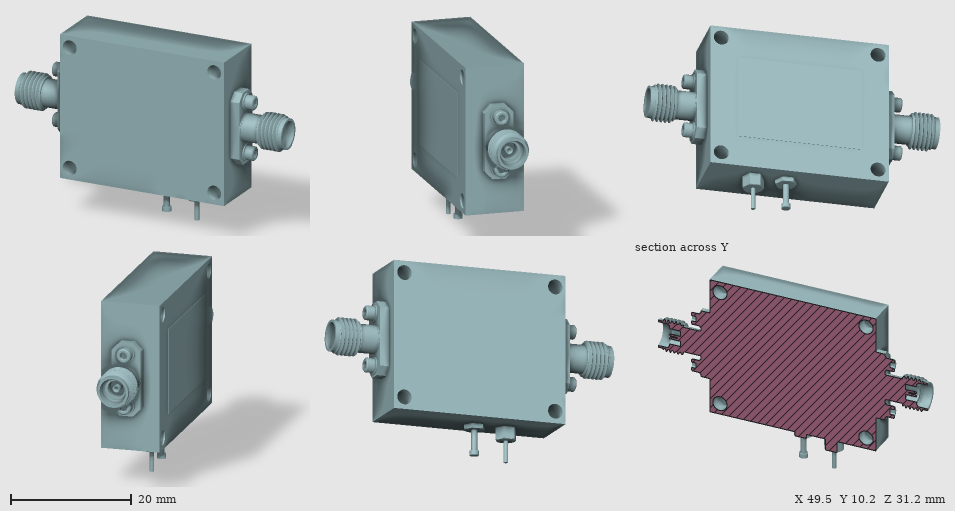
import cadquery as cq
import math

BODY_X = 30.48
BODY_Y = 10.16
BODY_Z = 25.4
COVER_THICKNESS = 1.27

LABEL_X = 21.1
LABEL_Z = 14.6
LABEL_THICKNESS = 0.08

HOLE_DIAMETER = 2.54
HOLE_SPACING_X = 26.8
HOLE_SPACING_Z = 21.3

CONNECTOR_FROM_FRONT = 4.83
CONNECTOR_Y = -BODY_Y / 2 + CONNECTOR_FROM_FRONT
CONNECTOR_REACH = 9.48
FLANGE_LENGTH = 12.7
FLANGE_WIDTH = 5.0
FLANGE_THICKNESS = 1.65
FLANGE_CHAMFER = 1.35
BARREL_DIAMETER = 4.83
COLLAR_DIAMETER = FLANGE_WIDTH
COLLAR_HEIGHT = 0.15
TIP_DIAMETER = 5.33
TIP_LENGTH = 0.74
THREAD_DIAMETER = 6.35
INCH = 25.4
THREADS_PER_INCH = 36
THREAD_PITCH = INCH / THREADS_PER_INCH
THREAD_LENGTH = 3.95
THREAD_FIRST_CREST = 1.16
RIDGE_BASE = 0.6
RIDGE_CREST = 0.08
RIDGE_OVERLAP = 0.05

MOUTH_DIAMETER = 4.52
MOUTH_DEPTH = 1.7
MOUTH_FLOOR_DIAMETER = 3.9
SEAT_DEPTH = 2.0
AIR_BORE_DIAMETER = 2.92
AIR_BORE_DEPTH = 4.0
CONTACT_DIAMETER = 1.19
CONTACT_HOLE_DIAMETER = 0.6
CONTACT_MOUTH_DIAMETER = 0.94
CONTACT_HOLE_DEPTH = 1.5

END_TAB_HEIGHT = 0.09
END_TAB_DEPTH = 0.36

SCREW_SPACING = 8.94
WASHER_DIAMETER = 2.95
WASHER_THICKNESS = 0.25
HEAD_DIAMETER = 2.44
HEAD_HEIGHT = 1.5
HEAD_CHAMFER = 0.18
SOCKET_ACROSS_FLATS = 1.1
SOCKET_MOUTH_DIAMETER = 1.35
SOCKET_BEVEL_DEPTH = 0.15
SOCKET_DEPTH = 0.8

TERMINAL_FROM_FRONT = 6.35
TERMINAL_Y = -BODY_Y / 2 + TERMINAL_FROM_FRONT
NUT_ACROSS_FLATS = 3.18
NUT_CORNER_CHAMFER = 0.2
FEEDTHROUGH_X = 1.42
FEEDTHROUGH_NUT_HEIGHT = 0.78
FEEDTHROUGH_STEM_DIAMETER = 1.02
FEEDTHROUGH_REACH = 5.12
FEEDTHROUGH_HEAD_DIAMETER = 1.52
FEEDTHROUGH_HEAD_LENGTH = 0.8
GROUND_X = 7.03
GROUND_NUT_HEIGHT = 2.1
GROUND_PIN_DIAMETER = 0.76
GROUND_REACH = 5.84


def cylinder(diameter, start, end):
    """Cylinder along local Z between two heights."""
    return cq.Workplane("XY").workplane(offset=start).circle(diameter / 2).extrude(end - start)


def hexagon_prism(across_flats, height):
    """Hexagonal prism along Z with corners on the X axis."""
    across_corners = across_flats / math.cos(math.pi / 6)
    return cq.Workplane("XY").polygon(6, across_corners).extrude(height)


def slab(size_x, size_z, start_y, thickness):
    """Box centred on X and Z, from start_y toward +Y."""
    return cq.Workplane("XY").box(size_x, thickness, size_z).translate((0, start_y + thickness / 2, 0))


def housing():
    """Box, cover and label; the joint of box and cover is kept as an edge."""
    cover_start = BODY_Y / 2 - COVER_THICKNESS
    box = slab(BODY_X, BODY_Z, -BODY_Y / 2, BODY_Y - COVER_THICKNESS)
    cover = slab(BODY_X, BODY_Z, cover_start, COVER_THICKNESS)
    label = slab(LABEL_X, LABEL_Z, BODY_Y / 2, LABEL_THICKNESS)
    holes = (
        cq.Workplane("XZ")
        .rect(HOLE_SPACING_X, HOLE_SPACING_Z, forConstruction=True)
        .vertices()
        .circle(HOLE_DIAMETER / 2)
        .extrude(BODY_Y, both=True)
    )
    return box.cut(holes).union(cover.cut(holes).union(label), clean=False)


def thread():
    """Right-hand helical ridge on a core, with 45 degree lead-ins at both ends."""
    core_radius = TIP_DIAMETER / 2
    crest_radius = THREAD_DIAMETER / 2
    end = CONNECTOR_REACH - TIP_LENGTH
    start = end - THREAD_LENGTH
    spare_turns = 2
    turns = math.ceil(THREAD_LENGTH / THREAD_PITCH) + spare_turns
    helix_start = CONNECTOR_REACH - THREAD_FIRST_CREST - (turns - 1) * THREAD_PITCH
    foot_radius = core_radius - RIDGE_OVERLAP
    path = cq.Wire.makeHelix(THREAD_PITCH, turns * THREAD_PITCH, core_radius)
    ridge = (
        cq.Workplane("XZ")
        .moveTo(foot_radius, -RIDGE_BASE / 2)
        .lineTo(crest_radius, -RIDGE_CREST / 2)
        .lineTo(crest_radius, RIDGE_CREST / 2)
        .lineTo(foot_radius, RIDGE_BASE / 2)
        .close()
        .sweep(cq.Workplane(path), isFrenet=True)
        .translate((0, 0, helix_start))
    )
    lead_in = crest_radius - core_radius
    envelope = cylinder(THREAD_DIAMETER + 2 * RIDGE_OVERLAP, start, end).edges().chamfer(lead_in)
    core = cylinder(TIP_DIAMETER, start, end)
    return core.union(ridge.intersect(envelope))


def mouth():
    """Revolved cavity of the connector, around its centre contact."""
    face = CONNECTOR_REACH
    bore = cylinder(MOUTH_DIAMETER, face - MOUTH_DEPTH, face)
    taper = (
        cq.Workplane("XY")
        .workplane(offset=face - SEAT_DEPTH)
        .circle(MOUTH_FLOOR_DIAMETER / 2)
        .workplane(offset=SEAT_DEPTH - MOUTH_DEPTH)
        .circle(MOUTH_DIAMETER / 2)
        .loft()
    )
    air_bore = cylinder(AIR_BORE_DIAMETER, face - AIR_BORE_DEPTH, face - SEAT_DEPTH)
    return bore.union(taper).union(air_bore)


def contact():
    tip = CONNECTOR_REACH - SEAT_DEPTH
    pin = cylinder(CONTACT_DIAMETER, CONNECTOR_REACH - AIR_BORE_DEPTH, tip)
    pin = pin.cut(cylinder(CONTACT_HOLE_DIAMETER, tip - CONTACT_HOLE_DEPTH, tip))
    bevel = (CONTACT_MOUTH_DIAMETER - CONTACT_HOLE_DIAMETER) / 2
    return pin.faces(">Z").edges(cq.selectors.RadiusNthSelector(0)).chamfer(bevel)


def flange_screw():
    washer = cylinder(WASHER_DIAMETER, 0, WASHER_THICKNESS)
    top = WASHER_THICKNESS + HEAD_HEIGHT
    head = cylinder(HEAD_DIAMETER, 0, top).faces(">Z").edges().chamfer(HEAD_CHAMFER)
    socket = hexagon_prism(SOCKET_ACROSS_FLATS, SOCKET_DEPTH).translate((0, 0, top - SOCKET_DEPTH))
    bevel = cq.Workplane(
        cq.Solid.makeCone(
            SOCKET_ACROSS_FLATS / 2,
            SOCKET_MOUTH_DIAMETER / 2,
            SOCKET_BEVEL_DEPTH,
            pnt=cq.Vector(0, 0, top - SOCKET_BEVEL_DEPTH),
        )
    )
    return washer.union(head).cut(socket).cut(bevel)


def connector():
    """Connector on the -X wall, built along local Z and then laid along -X."""
    unit = cq.Workplane("XY").rect(FLANGE_LENGTH, FLANGE_WIDTH).extrude(FLANGE_THICKNESS)
    unit = unit.edges("|Z").chamfer(FLANGE_CHAMFER)
    unit = unit.union(cylinder(COLLAR_DIAMETER, 0, FLANGE_THICKNESS + COLLAR_HEIGHT))
    unit = unit.union(cylinder(BARREL_DIAMETER, 0, CONNECTOR_REACH - TIP_LENGTH))
    unit = unit.union(cylinder(TIP_DIAMETER, CONNECTOR_REACH - TIP_LENGTH, CONNECTOR_REACH))
    unit = unit.union(thread()).cut(mouth()).union(contact())
    for side in (-1, 1):
        unit = unit.union(flange_screw().translate((side * SCREW_SPACING / 2, 0, FLANGE_THICKNESS)))
    wall = cq.Plane(origin=(-BODY_X / 2, CONNECTOR_Y, 0), xDir=(0, 0, 1), normal=(-1, 0, 0))
    return cq.Workplane(unit.val().moved(cq.Location(wall)))


def end_tab():
    """Segment of the tip circle raised from the end face of the +X connector."""
    face_x = BODY_X / 2 + CONNECTOR_REACH
    tip_radius = TIP_DIAMETER / 2
    disc = (
        cq.Workplane("YZ", origin=(face_x, CONNECTOR_Y, 0))
        .circle(tip_radius)
        .circle(MOUTH_DIAMETER / 2)
        .extrude(END_TAB_HEIGHT)
    )
    segment_center_z = -tip_radius + END_TAB_DEPTH / 2
    keep = cq.Workplane("XY").box(2 * END_TAB_HEIGHT, TIP_DIAMETER, END_TAB_DEPTH)
    return disc.intersect(keep.translate((face_x, CONNECTOR_Y, segment_center_z)))


def terminal_nut(height):
    """Hexagonal nut whose outer corners are bevelled by a cone."""
    nut = hexagon_prism(NUT_ACROSS_FLATS, height)
    across_corners = NUT_ACROSS_FLATS / math.cos(math.pi / 6)
    turned = cylinder(across_corners, 0, height).faces(">Z").edges().chamfer(NUT_CORNER_CHAMFER)
    return nut.intersect(turned)


def hang_below(terminal, x):
    """Turn a terminal upside down and place it under the housing."""
    return terminal.rotate((0, 0, 0), (1, 0, 0), 180).translate((x, TERMINAL_Y, -BODY_Z / 2))


def feedthrough_terminal():
    head_start = FEEDTHROUGH_REACH - FEEDTHROUGH_HEAD_LENGTH
    terminal = terminal_nut(FEEDTHROUGH_NUT_HEIGHT)
    terminal = terminal.union(cylinder(FEEDTHROUGH_STEM_DIAMETER, 0, head_start))
    terminal = terminal.union(cylinder(FEEDTHROUGH_HEAD_DIAMETER, head_start, FEEDTHROUGH_REACH))
    return hang_below(terminal, FEEDTHROUGH_X)


def ground_terminal():
    terminal = terminal_nut(GROUND_NUT_HEIGHT)
    terminal = terminal.union(cylinder(GROUND_PIN_DIAMETER, 0, GROUND_REACH))
    return hang_below(terminal, GROUND_X)


left_connector = connector()
right_connector = left_connector.rotate((0, 0, 0), (0, 1, 0), 180)

result = housing()
for attachment in (left_connector, right_connector, end_tab(), feedthrough_terminal(), ground_terminal()):
    result = result.union(attachment, clean=False)